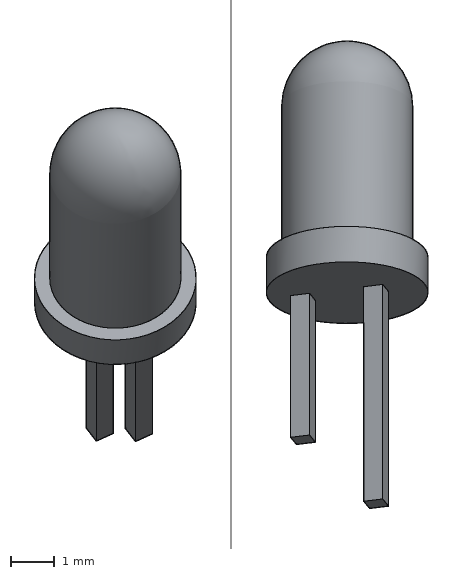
import cadquery as cq

total_height = 11.4
long_lead_length = 5.3
short_lead_length = 3.5
lead_width = 0.46
long_lead_x = -0.7
short_lead_x = 1.06
flange_diameter = 3.69
flange_height = 0.88
lens_diameter = 3.0

lens_radius = lens_diameter / 2
flange_radius = flange_diameter / 2
lens_top = total_height - long_lead_length
dome_base = lens_top - lens_radius
dome_mid = lens_radius * 0.5 ** 0.5


def make_lens():
    """Flanged cylinder with a hemispherical dome, revolved about Z."""
    return (
        cq.Workplane("XZ")
        .lineTo(flange_radius, 0)
        .lineTo(flange_radius, flange_height)
        .lineTo(lens_radius, flange_height)
        .lineTo(lens_radius, dome_base)
        .threePointArc((dome_mid, dome_base + dome_mid), (0, lens_top))
        .close()
        .revolve(360, (0, 0), (0, 1))
    )


def make_lead(x, length):
    """Square lead hanging from the underside of the flange."""
    return cq.Workplane("XY").center(x, 0).rect(lead_width, lead_width).extrude(-length)


lens = make_lens()

leads = []
for x, length in [(long_lead_x, long_lead_length), (short_lead_x, short_lead_length)]:
    leads.append(make_lead(x, length).val())

result = cq.Compound.makeCompound([lens.val(), *leads])